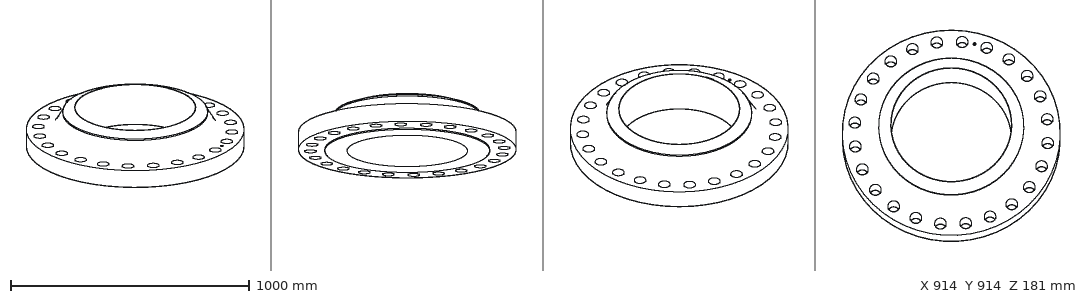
import cadquery as cq
import math

flange_radius = 457.0
flange_thickness = 77.0
raised_face_radius = 346.5
raised_face_height = 5.5

overall_height = 181.0
bore_radius = 252.0
hub_base_radius = 350.0
hub_top_radius = 304.0
hub_band_height = 6.0
hub_fillet_radius = 3.0

land_width = 2.0
bevel_outer_radius = 272.0
bevel_height = 13.0
bevel_fillet_radius = 3.0
shallow_slope_height = 5.5

bolt_count = 24
bolt_circle_radius = 407.0
bolt_hole_diameter = 48.0

small_hole_mouth_diameter = 12.0
small_hole_diameter = 5.5
small_hole_depth = 11.0

hub_top = overall_height - raised_face_height
bevel_bottom = hub_top - bevel_height
band_top = bevel_bottom - shallow_slope_height
band_bottom = band_top - hub_band_height


def flange_body():
    """Revolve the half section of the flange, hub and bore about Z."""
    section = (
        cq.Workplane("XZ")
        .moveTo(bore_radius, -raised_face_height)
        .lineTo(raised_face_radius, -raised_face_height)
        .lineTo(raised_face_radius, 0)
        .lineTo(flange_radius, 0)
        .lineTo(flange_radius, flange_thickness)
        .lineTo(hub_base_radius, flange_thickness)
        .lineTo(hub_top_radius, band_bottom)
        .lineTo(hub_top_radius, band_top)
        .lineTo(bevel_outer_radius, bevel_bottom)
        .lineTo(bore_radius + land_width, hub_top)
        .lineTo(bore_radius, hub_top)
        .close()
    )
    body = section.revolve(360, (0, 0, 0), (0, 1, 0))

    bevel_foot_edge = cq.selectors.RadiusNthSelector(2)
    body = body.edges(bevel_foot_edge).fillet(bevel_fillet_radius)

    hub_base_edge = cq.selectors.RadiusNthSelector(-2)
    return body.edges(hub_base_edge).fillet(hub_fillet_radius)


def bolt_holes():
    """Cylinders through the flange, evenly spaced on the bolt circle."""
    return (
        cq.Workplane("XY")
        .polarArray(bolt_circle_radius, 0, 360, bolt_count)
        .circle(bolt_hole_diameter / 2)
        .extrude(flange_thickness)
    )


def small_hole():
    """Blind hole from the flange top, half a bolt pitch from the +X axis."""
    angle = math.pi / bolt_count
    x = bolt_circle_radius * math.cos(angle)
    y = bolt_circle_radius * math.sin(angle)
    mouth_radius = small_hole_mouth_diameter / 2
    hole_radius = small_hole_diameter / 2
    chamfer = mouth_radius - hole_radius
    section = (
        cq.Workplane("XZ", origin=(x, y, flange_thickness))
        .lineTo(mouth_radius, 0)
        .lineTo(hole_radius, -chamfer)
        .lineTo(hole_radius, -small_hole_depth)
        .lineTo(0, -small_hole_depth)
        .close()
    )
    return section.revolve(360, (0, 0, 0), (0, 1, 0))


result = flange_body().cut(bolt_holes()).cut(small_hole())